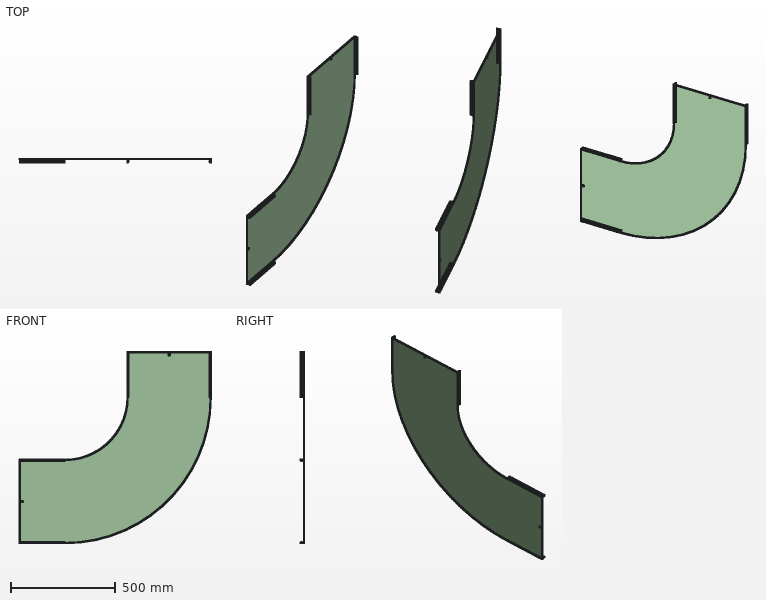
import cadquery as cq
import math

size = 918.0
depth = 17.0
sheet = 1.1
width = 400.0
leg_length = 218.5

flange_length = 214.0
flange_inset = 1.0
inner_flange_offset = 1.0
plate_overlap = 4.0
groove_start = 7.0
groove_bottom = 13.0
groove_depth = 5.0

plate_hole_diameter = 5.0
plate_hole_inset = 13.0
flange_hole_diameter = 4.0
flange_hole_inset = 19.0

outer_radius = size - leg_length
inner_radius = outer_radius - width
diagonal = math.cos(math.radians(45))


def arc_middle(radius):
    """Middle of a bend arc; both arcs share one centre."""
    return (leg_length + radius * diagonal, outer_radius - radius * diagonal)


def make_plate():
    """Flat plate of two straight legs joined by the bend, with its back face at Y = 0."""
    return (
        cq.Workplane("XZ")
        .lineTo(leg_length, 0)
        .threePointArc(arc_middle(outer_radius), (size, outer_radius))
        .lineTo(size, size)
        .lineTo(size - width, size)
        .lineTo(size - width, outer_radius)
        .threePointArc(arc_middle(inner_radius), (leg_length, width))
        .lineTo(0, width)
        .close()
        .extrude(sheet)
    )


def make_flange(edge, inward):
    """Grooved flange along the lower leg; its outside is at Z = edge.

    inward is the Z direction (+1 or -1) from there toward the middle of the plate.
    """
    skin = [(0, 0), (groove_start, 0), (groove_bottom, groove_depth), (depth, 0)]
    inner_skin = [(reach, height + sheet) for reach, height in skin[1:]]
    joint = [(sheet, sheet), (sheet, plate_overlap), (0, plate_overlap)]
    profile = skin + inner_skin[::-1] + joint
    flange = (
        cq.Workplane("YZ", origin=(flange_inset, 0, 0))
        .polyline([(-reach, edge + inward * height) for reach, height in profile])
        .close()
        .extrude(flange_length)
    )
    hole = (
        cq.Workplane("XY", origin=(flange_hole_inset, -(groove_start + groove_bottom) / 2, edge))
        .circle(flange_hole_diameter / 2)
        .extrude(2 * groove_depth, both=True)
    )
    return flange.cut(hole)


def make_plate_hole():
    """Cutter for the small hole near the end of the lower leg."""
    return (
        cq.Workplane("XZ", origin=(plate_hole_inset, 0, width / 2))
        .circle(plate_hole_diameter / 2)
        .extrude(sheet)
    )


def on_other_leg(body):
    """Mirror a feature of the lower leg onto the upright leg, across the plane X + Z = size."""
    return body.mirror(cq.Vector(1, 0, 1), (size, 0, 0))


flanges = make_flange(0, 1).union(make_flange(width + inner_flange_offset, -1))
plate_hole = make_plate_hole()
result = (
    make_plate()
    .union(flanges)
    .union(on_other_leg(flanges))
    .cut(plate_hole)
    .cut(on_other_leg(plate_hole))
)